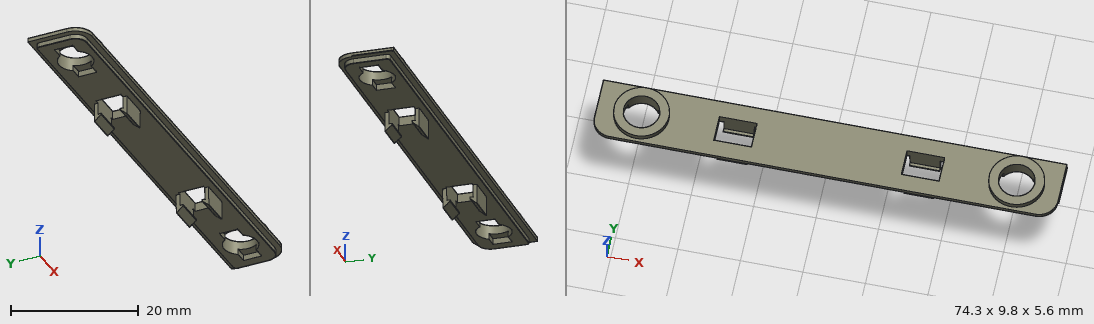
import cadquery as cq

length = 74.3
width = 9.8
cover_thickness = 0.7
front_corner_radius = 3.0
end_lip_reach = 0.15
end_lip_height = 0.15
end_lip_setback = 0.2

step = 1.0
base_thickness = 0.8
base_back_radius = 0.5
base_chamfer = 0.1

hole_offset = 30.0
hole_diameter = 5.7
boss_diameter = 8.8
boss_height = 0.9
keyway_depth = 1.0
keyway_length = boss_diameter
keyway_width = 3.1

window_offset = 15.0
window_length = 6.0
window_width = 4.3
hook_near_end = 12.4
hook_far_end = 17.3
hook_taper = 0.15
hook_drop = 3.2
hook_thickness = 0.7
catch_reach = 0.5
catch_height = 1.2
catch_lip = 0.2
hook_tip = 0.1

base_bottom = hook_drop
cover_bottom = base_bottom + base_thickness
cover_top = cover_bottom + cover_thickness
boss_top = cover_top + boss_height

hole_centers = [(-hole_offset, 0), (hole_offset, 0)]
window_centers = [(-window_offset, 0), (window_offset, 0)]


def make_cover():
    """Flat plate with rounded front corners and a thin lip along the bottom of its straight +X end."""
    plate_length = length - end_lip_reach
    plate = (
        cq.Workplane("XY", origin=(-length / 2, -width / 2, cover_bottom))
        .box(plate_length, width, cover_thickness, centered=False)
        .edges("|Z and <Y")
        .fillet(front_corner_radius)
    )
    lip_length = width - front_corner_radius - end_lip_setback
    lip = cq.Workplane(
        "XY", origin=(plate_length - length / 2, front_corner_radius - width / 2, cover_bottom)
    ).box(end_lip_reach, lip_length, end_lip_height, centered=False)
    return plate.union(lip)


def make_base():
    """Layer under the cover, set back by the step all round, with a chamfered bottom edge."""
    return (
        cq.Workplane("XY", origin=(0, 0, base_bottom))
        .box(length - 2 * step, width - 2 * step, base_thickness, centered=(True, True, False))
        .edges("|Z and <Y")
        .fillet(front_corner_radius - step)
        .edges("|Z and >Y")
        .fillet(base_back_radius)
        .faces("<Z")
        .edges()
        .chamfer(base_chamfer)
    )


def make_bosses():
    """Round bosses on top of the cover."""
    return (
        cq.Workplane("XY", origin=(0, 0, cover_top))
        .pushPoints(hole_centers)
        .circle(boss_diameter / 2)
        .extrude(boss_height)
    )


def make_openings():
    """Everything cut through the layers: boss holes, blind keyways from below, and windows."""
    holes = cq.Workplane("XY").pushPoints(hole_centers).circle(hole_diameter / 2).extrude(boss_top)
    keyways = (
        cq.Workplane("XY")
        .pushPoints(hole_centers)
        .rect(keyway_length, keyway_width)
        .extrude(base_bottom + keyway_depth)
    )
    windows = cq.Workplane("XY").pushPoints(window_centers).rect(window_length, window_width).extrude(boss_top)
    return holes.union(keyways).union(windows)


def make_hook():
    """Snap hook on the +X, +Y window edge: catch facing inward, near end tapering towards the tip."""
    inner = window_width / 2
    outer = inner + hook_thickness
    catch = inner - catch_reach
    side_profile = [
        (outer, base_bottom),
        (outer, 0),
        (outer - hook_tip, 0),
        (catch, catch_height - catch_lip),
        (catch, catch_height),
        (inner, catch_height),
        (inner, base_bottom),
    ]
    front_profile = [
        (hook_near_end, base_bottom),
        (hook_near_end + hook_taper, 0),
        (hook_far_end, 0),
        (hook_far_end, base_bottom),
    ]
    bar = cq.Workplane("YZ").polyline(side_profile).close().extrude(hook_far_end)
    tapered_block = cq.Workplane("XZ").polyline(front_profile).close().extrude(-outer)
    return bar.intersect(tapered_block)


result = make_cover().union(make_base()).union(make_bosses()).cut(make_openings())

hook = make_hook()
hook_pair = hook.union(hook.mirror("XZ"))
result = result.union(hook_pair).union(hook_pair.mirror("YZ"))